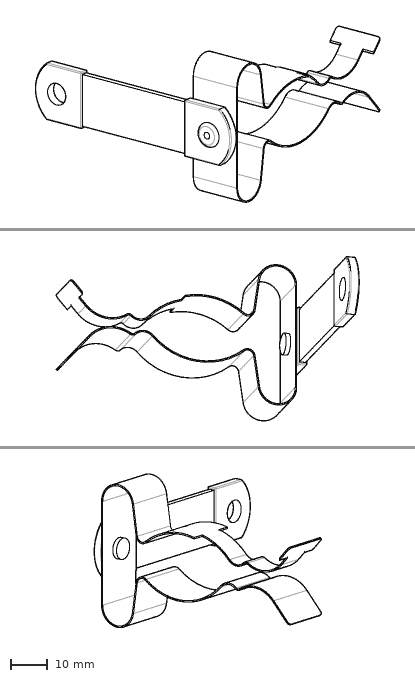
import cadquery as cq
import math


sheet = 0.4
clip_width = 15.0
loop_radius = 5.25
loop_height = 14.5
root_bend_y = 13.85
root_bend_z = 6.75
root_bend_radius = 1.9
belly_y = 26.8
belly_radius = 18.9
throat_y = 43.3
throat_radius = 3.5
nib_y = 46.4
nib_radius = 0.95
lip_y = 51.8
lip_radius = 9.0
flange_angle = 48.2
overall_length = 67.5
tip_corner_radius = 1.0

tongue_width = 7.55
tongue_start_y = 31.5
tongue_end_y = 60.55

strap_width = 15.0
strap_thickness = 1.8
hole_spacing = 52.45
open_hole_radius = 3.1
pad_width = 16.35
pad_thickness = 2.7
pad_tip = 7.5
pad_shoulder = 3.6
pad_heel = 8.5
pad_fillet = 0.35

shank_radius = 3.0
head_radius = 3.5
head_height = 0.9
shank_end_y = 1.7
dome_height = 0.8
dimple_radius = 0.95
dimple_depth = 0.95

tip_y = overall_length - pad_thickness - head_height - sheet / 2 * math.sin(math.radians(flange_angle))


def along(start, end, distance):
    """Point at a given distance from start, on the way to end."""
    length = math.dist(start, end)
    return tuple(s + (e - s) * distance / length for s, e in zip(start, end))


def polar(centre, radius, angle):
    """Point at a given radius and angle around a centre."""
    return (centre[0] + radius * math.cos(angle), centre[1] + radius * math.sin(angle))


def next_centre(centre, radius, next_y, next_radius, side):
    """Centre of a bend tangent to the given one; side is +1 if it lies above it, -1 if below."""
    rise = math.sqrt((radius + next_radius) ** 2 - (next_y - centre[0]) ** 2)
    return (next_y, centre[1] + side * rise)


def arm_face(offset):
    """One face of the sheet of the upper arm, offset outward (+Z on the belly) from the centre line.

    Returns the starting point and a list of (arc middle, end) pairs, one for each run;
    the middle of a straight run is None.
    """
    loop = (sheet / 2 + loop_radius, loop_height)
    root = (root_bend_y, root_bend_z)
    belly = next_centre(root, root_bend_radius, belly_y, belly_radius, -1)
    throat = next_centre(belly, belly_radius, throat_y, throat_radius, 1)
    nib = next_centre(throat, throat_radius, nib_y, nib_radius, -1)
    lip = next_centre(nib, nib_radius, lip_y, lip_radius, 1)

    centre_line = math.atan2(root[1] - loop[1], root[0] - loop[0])
    wall_normal = centre_line + math.acos((loop_radius + root_bend_radius) / math.dist(loop, root))
    flange_normal = math.radians(flange_angle - 90)

    crest = {"loop": loop_radius + offset, "belly": belly_radius + offset, "nib": nib_radius + offset}
    hollow = {"root": root_bend_radius - offset, "throat": throat_radius - offset, "lip": lip_radius - offset}

    web_end = (loop[0] - crest["loop"], loop_height)
    wall_start = polar(loop, crest["loop"], wall_normal)
    wall_end = polar(root, hollow["root"], wall_normal + math.pi)
    belly_start = along(root, belly, hollow["root"])
    belly_end = along(belly, throat, crest["belly"])
    nib_start = along(throat, nib, hollow["throat"])
    nib_end = along(nib, lip, crest["nib"])
    flange_start = polar(lip, hollow["lip"], flange_normal)

    tip_run = (tip_y - lip[0] - lip_radius * math.cos(flange_normal)) / math.cos(math.radians(flange_angle))
    tip = polar(flange_start, tip_run, math.radians(flange_angle))

    up = math.pi / 2
    return (web_end[0], 0), [
        (None, web_end),
        (polar(loop, crest["loop"], up), wall_start),
        (None, wall_end),
        (polar(root, hollow["root"], -up), belly_start),
        (polar(belly, crest["belly"], up), belly_end),
        (polar(throat, hollow["throat"], -up), nib_start),
        (polar(nib, crest["nib"], up), nib_end),
        (polar(lip, hollow["lip"], -up), flange_start),
        (None, tip),
    ]


def draw_run(outline, middle, end):
    """Continue an outline with a straight run or an arc."""
    if middle is None:
        return outline.lineTo(*end)
    return outline.threePointArc(middle, end)


def make_arm():
    """Upper half of the clip at full width, from the middle of the web to the tip."""
    start, outer = arm_face(sheet / 2)
    inner_start, inner = arm_face(-sheet / 2)
    outline = cq.Workplane("YZ").moveTo(*start)
    for middle, end in outer:
        outline = draw_run(outline, middle, end)
    outline = outline.lineTo(*inner[-1][1])
    inner_ends = [inner_start] + [end for _, end in inner[:-1]]
    for (middle, _), end in zip(reversed(inner), reversed(inner_ends)):
        outline = draw_run(outline, middle, end)
    arm = outline.close().extrude(clip_width / 2, both=True)
    return arm.faces(">Y").edges("not |X").fillet(tip_corner_radius)


def make_tongue_notches():
    """Blocks that narrow the upper arm to the tongue, leaving a full-width tab at the tip."""
    notch_depth = (clip_width - tongue_width) / 2
    notch_x = (tongue_width + notch_depth) / 2
    notch_y = (tongue_start_y + tongue_end_y) / 2
    return (
        cq.Workplane("XY")
        .pushPoints([(-notch_x, notch_y), (notch_x, notch_y)])
        .rect(notch_depth, tongue_end_y - tongue_start_y)
        .extrude(loop_height)
    )


def make_shank():
    """Rivet shank from the front of the pad to the start of its domed end."""
    shank_length = shank_end_y + pad_thickness
    return cq.Workplane("XZ", origin=(0, shank_end_y, 0)).circle(shank_radius).extrude(shank_length)


def make_clip():
    """Both arms of the clip as one bent sheet, with the rivet hole in its web."""
    lower_arm = make_arm().mirror("XY")
    upper_arm = make_arm().cut(make_tongue_notches())
    return upper_arm.union(lower_arm).cut(make_shank())


def make_pad():
    """End pad around a hole axis at the origin, rounded towards +X and square towards -X."""
    half_width = pad_width / 2
    pad = (
        cq.Workplane("XZ")
        .moveTo(-pad_heel, -half_width)
        .lineTo(pad_shoulder, -half_width)
        .threePointArc((pad_tip, 0), (pad_shoulder, half_width))
        .lineTo(-pad_heel, half_width)
        .close()
        .extrude(pad_thickness)
    )
    return pad.edges("(<X and |Y) or (not |Y)").fillet(pad_fillet)


def make_strap():
    """Flat bar with both end pads, the open hole at the far end and the rivet hole."""
    bar = (
        cq.Workplane("XY")
        .box(hole_spacing, strap_thickness, strap_width)
        .translate((-hole_spacing / 2, -pad_thickness / 2, 0))
    )
    far_pad = make_pad().mirror("YZ").translate((-hole_spacing, 0, 0))
    open_hole = (
        cq.Workplane("XZ", origin=(-hole_spacing, 0, 0)).circle(open_hole_radius).extrude(pad_thickness)
    )
    return bar.union(make_pad()).union(far_pad).cut(open_hole).cut(make_shank())


def make_rivet():
    """Turned about Y: rounded head with a conical dimple in front, plain shank, domed end behind."""
    seat_y = -pad_thickness
    front_y = seat_y - head_height
    face_radius = head_radius - head_height
    dome_tip_y = shank_end_y + dome_height
    round_middle = head_height * math.sqrt(0.5)
    dome_radius = (shank_radius ** 2 + dome_height ** 2) / (2 * dome_height)
    dome_half_angle = math.asin(shank_radius / dome_radius) / 2
    dome_middle = (
        dome_radius * math.sin(dome_half_angle),
        dome_tip_y - dome_radius * (1 - math.cos(dome_half_angle)),
    )
    return (
        cq.Workplane("XY")
        .moveTo(0, front_y + dimple_depth)
        .lineTo(dimple_radius, front_y)
        .lineTo(face_radius, front_y)
        .threePointArc((face_radius + round_middle, seat_y - round_middle), (head_radius, seat_y))
        .lineTo(shank_radius, seat_y)
        .lineTo(shank_radius, shank_end_y)
        .threePointArc(dome_middle, (0, dome_tip_y))
        .close()
        .revolve(360, (0, 0, 0), (0, 1, 0))
    )


clip = make_clip().solids()
strap = make_strap().solids()
rivet = make_rivet().solids()

result = cq.Compound.makeCompound([clip.val(), strap.val(), rivet.val()])